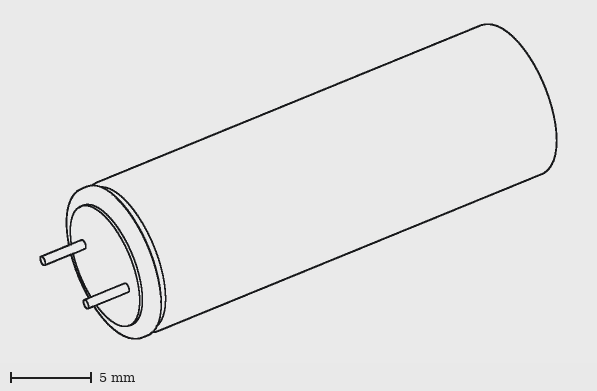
import cadquery as cq
import math

total_length = 33.2
can_diameter = 10.0
end_radius = 0.33
lead_length = 3.0
lead_diameter = 0.6
lead_pitch = 4.98
seal_diameter = 8.0
seal_height = 0.2

lip_length = 0.7
lip_shoulder_radius = 0.1
groove_root_radius = 0.2
groove_floor_width = 0.25
body_shoulder_radius = 0.2

tip_y = -total_length / 2
back_y = total_length / 2
seal_y = tip_y + lead_length
can_y = seal_y + seal_height
can_radius = can_diameter / 2
groove_radius = can_radius - lip_shoulder_radius - groove_root_radius


def cylinder(diameter, start_y, length, x=0):
    """Solid cylinder parallel to Y, growing toward +Y."""
    solid = cq.Solid.makeCylinder(
        diameter / 2, length, cq.Vector(x, start_y, 0), cq.Vector(0, 1, 0)
    )
    return cq.Workplane(obj=solid)


def make_can():
    """Revolved can with rounded ends and a groove that curves up into the lip."""
    lip_end_y = can_y + lip_length
    groove_start_y = lip_end_y + lip_shoulder_radius
    floor_y = groove_start_y + groove_root_radius
    groove_end_y = floor_y + groove_floor_width
    body_y = groove_end_y + body_shoulder_radius
    end_inset = end_radius * (1 - math.sqrt(0.5))
    lip_rise = lip_shoulder_radius * math.sqrt(0.5)
    root_inset = groove_root_radius * (1 - math.sqrt(0.5))
    body_rise = body_shoulder_radius * math.sqrt(0.5)

    profile = (
        cq.Workplane("XY")
        .moveTo(0, can_y)
        .lineTo(can_radius - end_radius, can_y)
        .threePointArc((can_radius - end_inset, can_y + end_inset), (can_radius, can_y + end_radius))
        .lineTo(can_radius, lip_end_y)
        .threePointArc(
            (can_radius - lip_shoulder_radius + lip_rise, lip_end_y + lip_rise),
            (can_radius - lip_shoulder_radius, groove_start_y),
        )
        .threePointArc(
            (groove_radius + root_inset, groove_start_y + root_inset),
            (groove_radius, floor_y),
        )
        .lineTo(groove_radius, groove_end_y)
        .lineTo(can_radius - body_shoulder_radius, groove_end_y)
        .threePointArc(
            (can_radius - body_shoulder_radius + body_rise, body_y - body_rise),
            (can_radius, body_y),
        )
        .lineTo(can_radius, back_y - end_radius)
        .threePointArc((can_radius - end_inset, back_y - end_inset), (can_radius - end_radius, back_y))
        .lineTo(0, back_y)
        .close()
    )
    return profile.revolve(360, (0, 0), (0, 1))


def make_leads():
    """Pair of round leads standing on the seal."""
    left = cylinder(lead_diameter, tip_y, lead_length, -lead_pitch / 2)
    right = cylinder(lead_diameter, tip_y, lead_length, lead_pitch / 2)
    return left.union(right)


seal = cylinder(seal_diameter, seal_y, seal_height)
result = make_can().union(seal).union(make_leads())